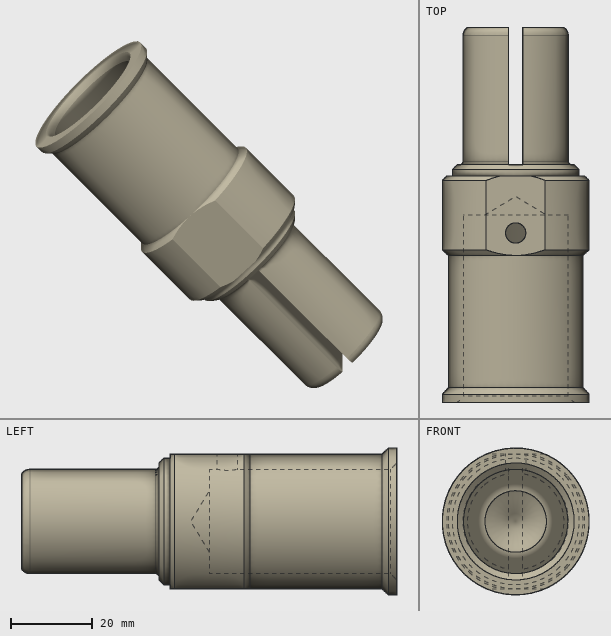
import cadquery as cq
import math

length = 91.8

flange_radius = 36.0 / 2
flange_width = 2.0
flange_cone_end = 3.7

body_radius = 33.0 / 2

band_radius = flange_radius
band_start = 36.0
band_lead_in = 1.4
band_end = 55.45
band_chamfer = 1.1
flat_height = body_radius

collar_radius = 31.0 / 2
collar_end = 58.2
collar_chamfer = 1.2

shank_radius = 25.8 / 2
shank_root_fillet = 0.8
tip_round_length = 2.0
tip_round_depth = 1.1
slot_width = 3.4

bore_radius = 25.5 / 2
bore_depth = 45.9
mouth_chamfer = 1.6
drill_radius = 7.5
drill_point_angle = 118.0

cross_hole_diameter = 5.0
cross_hole_position = 41.5


def make_outer_body():
    """Revolve the outer profile, given as (radius, Y), around the Y axis."""
    tip_radius = (tip_round_length**2 + tip_round_depth**2) / (2 * tip_round_depth)
    tip_start = length - tip_round_length
    tip_middle_angle = math.asin(tip_round_length / tip_radius) / 2
    tip_middle = (
        shank_radius - tip_radius * (1 - math.cos(tip_middle_angle)),
        tip_start + tip_radius * math.sin(tip_middle_angle),
    )
    root_offset = shank_root_fillet * (1 - math.sqrt(0.5))
    root_middle = (shank_radius + root_offset, collar_end + root_offset)
    profile = (
        cq.Workplane("XY")
        .moveTo(0, 0)
        .lineTo(flange_radius, 0)
        .lineTo(flange_radius, flange_width)
        .lineTo(body_radius, flange_cone_end)
        .lineTo(body_radius, band_start)
        .lineTo(band_radius, band_start + band_lead_in)
        .lineTo(band_radius, band_end - band_chamfer)
        .lineTo(band_radius - band_chamfer, band_end)
        .lineTo(collar_radius, band_end)
        .lineTo(collar_radius, collar_end - collar_chamfer)
        .lineTo(collar_radius - collar_chamfer, collar_end)
        .lineTo(shank_radius + shank_root_fillet, collar_end)
        .threePointArc(root_middle, (shank_radius, collar_end + shank_root_fillet))
        .lineTo(shank_radius, tip_start)
        .threePointArc(tip_middle, (shank_radius - tip_round_depth, length))
        .lineTo(0, length)
        .close()
    )
    return profile.revolve(360, (0, 0, 0), (0, 1, 0))


def make_bore():
    """Chamfered socket bore ending in a flat floor with a conical drill point."""
    point_depth = drill_radius / math.tan(math.radians(drill_point_angle / 2))
    profile = (
        cq.Workplane("XY")
        .moveTo(0, 0)
        .lineTo(bore_radius + mouth_chamfer, 0)
        .lineTo(bore_radius, mouth_chamfer)
        .lineTo(bore_radius, bore_depth)
        .lineTo(drill_radius, bore_depth)
        .lineTo(0, bore_depth + point_depth)
        .close()
    )
    return profile.revolve(360, (0, 0, 0), (0, 1, 0))


def make_flat_cutter(side):
    """Block removing the band above (side = 1) or below (side = -1) a flat."""
    thickness = band_radius
    return (
        cq.Workplane("XY")
        .box(2 * band_radius, band_end - band_start, thickness)
        .translate((0, (band_start + band_end) / 2, side * (flat_height + thickness / 2)))
    )


def make_slot():
    """Slot splitting the shank down to the collar face."""
    slot_length = length - collar_end
    return (
        cq.Workplane("XY")
        .box(slot_width, slot_length, 2 * collar_radius)
        .translate((0, collar_end + slot_length / 2, 0))
    )


def make_cross_hole():
    """Vertical hole from the bore axis out through the upper flat."""
    return (
        cq.Workplane("XY")
        .center(0, cross_hole_position)
        .circle(cross_hole_diameter / 2)
        .extrude(band_radius)
    )


result = make_outer_body().cut(make_bore())
for side in (1, -1):
    result = result.cut(make_flat_cutter(side))
result = result.cut(make_slot()).cut(make_cross_hole())